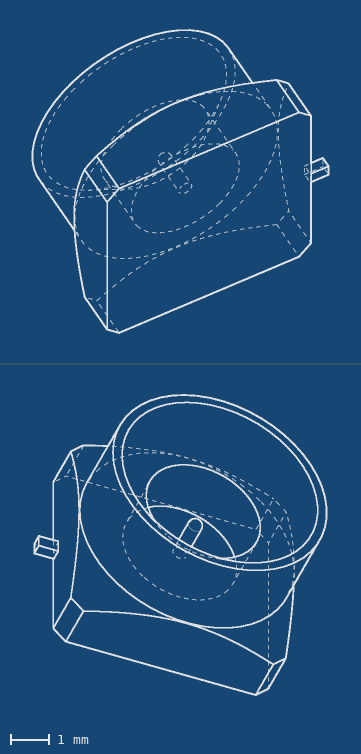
import cadquery as cq

total_length = 4.1
flange_width = 6.0
corner_chamfer = 0.35
barrel_length = 2.295
cone_length = 0.58

barrel_radius = 2.98
mouth_radius = 2.73
bore_radius = 1.59
funnel_depth = 1.15
bore_depth = 2.8

pin_radius = 0.19
pin_tip_center = 1.72
tab_reach = 0.54
tab_length = 0.315
tab_height = 0.35
tab_setback = 0.045

half_width = flange_width / 2
corner_radius = (half_width**2 + (half_width - corner_chamfer) ** 2) ** 0.5


def make_flange():
    """Square block with chamfered corners, trimmed by a cone around X."""
    block = (
        cq.Workplane("YZ", origin=(barrel_length, 0, 0))
        .rect(flange_width, flange_width)
        .extrude(total_length - barrel_length)
        .edges("|X")
        .chamfer(corner_chamfer)
    )
    envelope = (
        cq.Workplane("XY")
        .moveTo(barrel_length, 0)
        .lineTo(barrel_length, barrel_radius)
        .lineTo(barrel_length + cone_length, corner_radius)
        .lineTo(total_length, corner_radius)
        .lineTo(total_length, 0)
        .close()
        .revolve(360, (0, 0, 0), (1, 0, 0))
    )
    return block.intersect(envelope)


def make_cavity():
    """Funnel narrowing into a straight blind bore."""
    return (
        cq.Workplane("XY")
        .lineTo(0, mouth_radius)
        .lineTo(funnel_depth, bore_radius)
        .lineTo(bore_depth, bore_radius)
        .lineTo(bore_depth, 0)
        .close()
        .revolve(360, (0, 0, 0), (1, 0, 0))
    )


def make_pin():
    """Round-nosed pin standing on the bore floor."""
    shank = (
        cq.Workplane("YZ", origin=(pin_tip_center, 0, 0))
        .circle(pin_radius)
        .extrude(total_length - pin_tip_center)
    )
    tip = cq.Workplane("XY", origin=(pin_tip_center, 0, 0)).sphere(pin_radius)
    return shank.union(tip)


def make_tab():
    """Flat tab on the +Y side, rooted in the flange edge."""
    return cq.Workplane("XY").box(tab_length, tab_reach, tab_height).translate(
        (total_length - tab_setback - tab_length / 2, half_width + tab_reach / 2, 0)
    )


barrel = cq.Workplane("YZ").circle(barrel_radius).extrude(barrel_length)
body = barrel.union(make_flange()).cut(make_cavity())
result = body.union(make_pin()).union(make_tab())